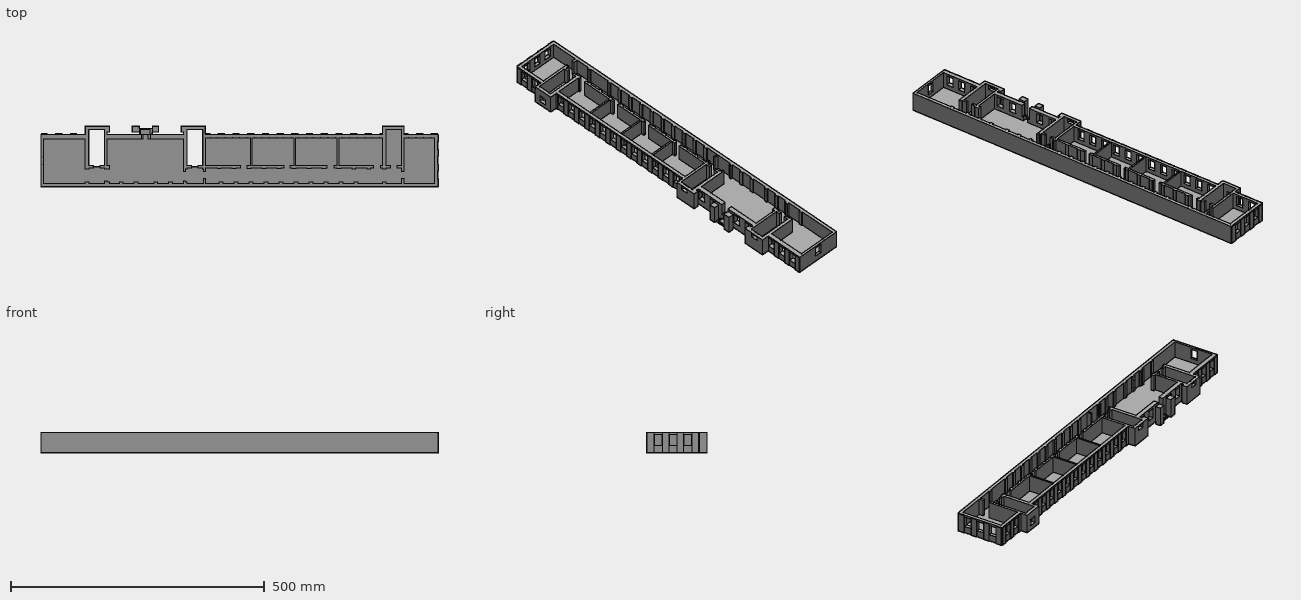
import cadquery as cq

LENGTH = 784.1
DEPTH = 119.8
HEIGHT = 40.5
FLOOR_TOP = 5.3
ABOVE_FLOOR = (FLOOR_TOP, HEIGHT)

PIER_DEPTH = 1.3
PIER_DROP = 0.6
PIER_INSET = 1.2
PIER_GAP = 16.5

RIGHT_FACE = LENGTH - PIER_DEPTH
BACK_FACE = 103.6
FRONT_WALL = 7.1
LEFT_WALL = 5.0
RIGHT_WALL = 7.1
HALL_BACK_WALL = 9.4
ROOM_BACK_WALL = 7.1
HALL_BACK_INSIDE = BACK_FACE - HALL_BACK_WALL
ROOM_BACK_INSIDE = BACK_FACE - ROOM_BACK_WALL

WINDOW_WIDTH = 14.8
WINDOW_HEIGHT = (14.5, 35.8)
WINDOW_PITCH = 29.1
MIDDLE_WINDOW_PITCH = 29.0
LEFT_ROOM_WINDOWS = [20.5 + WINDOW_PITCH * i for i in range(3)]
HALL_WINDOWS = [144.5, 174.5, 241.5, 271.5]
MIDDLE_WINDOWS = [341.2 + MIDDLE_WINDOW_PITCH * i for i in range(12)]
RIGHT_ROOM_WINDOWS = [732.2, 761.3]
END_WINDOWS = [23.5 + WINDOW_PITCH * i for i in range(3)]
LEFT_END_WINDOW = 51.8

STAIR_LEFT_SIDES = [94.5, 288.2, 680.2]
STAIR_WIDTH = 30.7
STAIR_LEFT_WALL = 7.1
STAIR_RIGHT_WALL = 5.3
STAIR_BACK_WALL = 7.0
STAIR_HEAD_FRONT = 108.3
LEFT_LEDGES = [0, 4.5, 0]
RIGHT_LEDGES = [5.0, 0, 0]
STAIR_DOOR = (9.0, 21.5)
STAIR_WINDOW_HEIGHTS = [(29.5, 38.0), (29.5, 38.0), (10.0, 24.0)]
FLOOR_OPEN = [True, True, False]

CORRIDOR_WALL = (37.7, 42.4)
CORRIDOR_DOORS = [(394.0, 406.5), (479.0, 491.5), (564.3, 577.5), (656.0, 670.0)]
PARTITION_WIDTH = 3.5
PARTITIONS = [414.8 + 85.5 * i for i in range(3)]

INNER_PIER_WIDTH = 7.5
FRONT_PIER_BACK = 9.6
STAIR_FOOT = 35.3
FRONT_HALL_PIERS = [158.2, 187.2, 226.3, 255.3]
FRONT_ROOM_PIERS = [354.8 + 29.6 * i for i in range(10)]
SHALLOW_PIER_FRONT = 36.4
DEEP_PIER_FRONT = 35.3
CORRIDOR_PIERS = [351.5 + 29.5 * i for i in range(11)]
SHALLOW_PIERS = CORRIDOR_PIERS[:9]
DEEP_PIERS = CORRIDOR_PIERS[9:]

CROSS_WALLS = [
    ((281.1, 284.6), (30.6, 11.8)),
    ((320.8, 324.2), (30.6, 16.5)),
    ((710.9, 716.2), (30.6, 16.5)),
]
FIRST_STAIR_PIERS = [((125.2, 130.5), 11.8), ((130.5, 135.5), FRONT_PIER_BACK)]

POSTS = [(180.0, 194.2), (219.8, 232.0)]
LOWER_STEP_BACK = 115.4
LOWER_STEP_TOP = 1.8
UPPER_STEP = (196.5, 215.5)
UPPER_STEP_BACK = 113.0
UPPER_STEP_TOP = 3.6
ENTRANCE = (198.5, 216.0)
ENTRANCE_DOOR = (201.5, 211.5)


def block(x, y, z=(0, HEIGHT)):
    """Box from three (low, high) ranges."""
    size = (x[1] - x[0], y[1] - y[0], z[1] - z[0])
    return cq.Workplane("XY").box(*size, centered=False).translate((x[0], y[0], z[0]))


def around(centre, width):
    return (centre - width / 2, centre + width / 2)


def stair_right(left):
    """Outer face of a stairwell's right side wall."""
    return left + STAIR_WIDTH + STAIR_RIGHT_WALL


def shell():
    body = block((0, RIGHT_FACE), (0, BACK_FACE))
    split = STAIR_LEFT_SIDES[1]
    hall = block((LEFT_WALL, split), (FRONT_WALL, HALL_BACK_INSIDE), ABOVE_FLOOR)
    rooms = block((split, RIGHT_FACE - RIGHT_WALL), (FRONT_WALL, ROOM_BACK_INSIDE), ABOVE_FLOOR)
    return body.cut(hall).cut(rooms)


def add_outside_piers(body):
    """Bands along the back and right walls, divided into piers by a gap at each window."""
    height = (0, HEIGHT - PIER_DROP)
    back = (BACK_FACE, BACK_FACE + PIER_DEPTH)
    right = (RIGHT_FACE, LENGTH)
    back_bands = [
        (PIER_INSET, LEFT_ROOM_WINDOWS[-1]),
        (stair_right(STAIR_LEFT_SIDES[1]), STAIR_LEFT_SIDES[2]),
        (stair_right(STAIR_LEFT_SIDES[2]), RIGHT_FACE - PIER_INSET),
    ]
    bands = block(right, (PIER_INSET, BACK_FACE - PIER_INSET), height)
    for band in back_bands:
        bands = bands.union(block(band, back, height))
    for x in LEFT_ROOM_WINDOWS + MIDDLE_WINDOWS + RIGHT_ROOM_WINDOWS:
        bands = bands.cut(block(around(x, PIER_GAP), back))
    for y in END_WINDOWS:
        bands = bands.cut(block(right, around(y, PIER_GAP)))
    return body.union(bands)


def cut_windows(body):
    through_back = (HALL_BACK_INSIDE, BACK_FACE)
    for x in LEFT_ROOM_WINDOWS + HALL_WINDOWS + MIDDLE_WINDOWS + RIGHT_ROOM_WINDOWS:
        body = body.cut(block(around(x, WINDOW_WIDTH), through_back, WINDOW_HEIGHT))
    for y in END_WINDOWS:
        through_right = (RIGHT_FACE - RIGHT_WALL, RIGHT_FACE)
        body = body.cut(block(through_right, around(y, WINDOW_WIDTH), WINDOW_HEIGHT))
    return body.cut(block((0, LEFT_WALL), around(LEFT_END_WINDOW, WINDOW_WIDTH), WINDOW_HEIGHT))


def add_stairwell(body, left, left_ledge, right_ledge, window_height, floor_open):
    outer = (left - STAIR_LEFT_WALL, stair_right(left))
    head = (outer[0] - left_ledge, outer[1] + right_ledge)
    clear = (left, left + STAIR_WIDTH)
    door = (left + STAIR_DOOR[0], left + STAIR_DOOR[1])
    inside = (CORRIDOR_WALL[1], DEPTH - STAIR_BACK_WALL)
    back_wall = (DEPTH - STAIR_BACK_WALL, DEPTH)
    wall_middle = sum(CORRIDOR_WALL) / 2

    body = body.union(block(outer, (STAIR_FOOT, DEPTH)))
    body = body.union(block(head, (STAIR_HEAD_FRONT, DEPTH)))
    body = body.cut(block(clear, inside, ABOVE_FLOOR))
    body = body.cut(block(clear, (STAIR_FOOT, CORRIDOR_WALL[0]), ABOVE_FLOOR))
    body = body.cut(block(door, CORRIDOR_WALL, ABOVE_FLOOR))
    body = body.cut(block(around(left + STAIR_WIDTH / 2, WINDOW_WIDTH), back_wall, window_height))
    if floor_open:
        body = body.cut(block(clear, inside))
        body = body.cut(block(door, (wall_middle, CORRIDOR_WALL[1])))
    return body


def add_rooms(body):
    """Corridor wall with its doors, and the partitions between the rooms."""
    wall = block((stair_right(STAIR_LEFT_SIDES[1]), STAIR_LEFT_SIDES[2] - STAIR_LEFT_WALL), CORRIDOR_WALL)
    for x in SHALLOW_PIERS:
        wall = wall.union(block(around(x, INNER_PIER_WIDTH), (SHALLOW_PIER_FRONT, CORRIDOR_WALL[1])))
    for x in DEEP_PIERS:
        wall = wall.union(block(around(x, INNER_PIER_WIDTH), (DEEP_PIER_FRONT, CORRIDOR_WALL[1])))
    for door in CORRIDOR_DOORS:
        wall = wall.cut(block(door, (DEEP_PIER_FRONT, CORRIDOR_WALL[1]), ABOVE_FLOOR))
    for x in PARTITIONS:
        wall = wall.union(block(around(x, PARTITION_WIDTH), (CORRIDOR_WALL[1], ROOM_BACK_INSIDE)))
    return body.union(wall)


def add_front_piers(body):
    for x in FRONT_HALL_PIERS + FRONT_ROOM_PIERS:
        body = body.union(block(around(x, INNER_PIER_WIDTH), (0, FRONT_PIER_BACK)))
    for left in STAIR_LEFT_SIDES:
        body = body.union(block((left - STAIR_LEFT_WALL, left), (0, FRONT_PIER_BACK)))
    for x_range, back in FIRST_STAIR_PIERS:
        body = body.union(block(x_range, (0, back)))
    return body


def add_cross_walls(body):
    for x_range, (passage_back, passage_front) in CROSS_WALLS:
        body = body.union(block(x_range, (0, passage_front)))
        body = body.union(block(x_range, (passage_back, CORRIDOR_WALL[0])))
    first_right = stair_right(STAIR_LEFT_SIDES[0])
    return body.union(block((first_right, first_right + RIGHT_LEDGES[0]), (STAIR_FOOT, CORRIDOR_WALL[1])))


def add_porch(body):
    between_posts = (POSTS[0][1], POSTS[1][0])
    for post in POSTS:
        body = body.union(block(post, (STAIR_HEAD_FRONT, DEPTH)))
    body = body.union(block(between_posts, (BACK_FACE, LOWER_STEP_BACK), (0, LOWER_STEP_TOP)))
    body = body.union(block(UPPER_STEP, (BACK_FACE, UPPER_STEP_BACK), (0, UPPER_STEP_TOP)))
    through_wall = (HALL_BACK_INSIDE, BACK_FACE)
    body = body.cut(block(ENTRANCE, through_wall, (WINDOW_HEIGHT[0], HEIGHT)))
    return body.cut(block(ENTRANCE_DOOR, through_wall, ABOVE_FLOOR))


result = cut_windows(add_outside_piers(shell()))
stairwells = zip(STAIR_LEFT_SIDES, LEFT_LEDGES, RIGHT_LEDGES, STAIR_WINDOW_HEIGHTS, FLOOR_OPEN)
for stairwell in stairwells:
    result = add_stairwell(result, *stairwell)
result = add_rooms(result)
result = add_front_piers(result)
result = add_cross_walls(result)
result = add_porch(result)